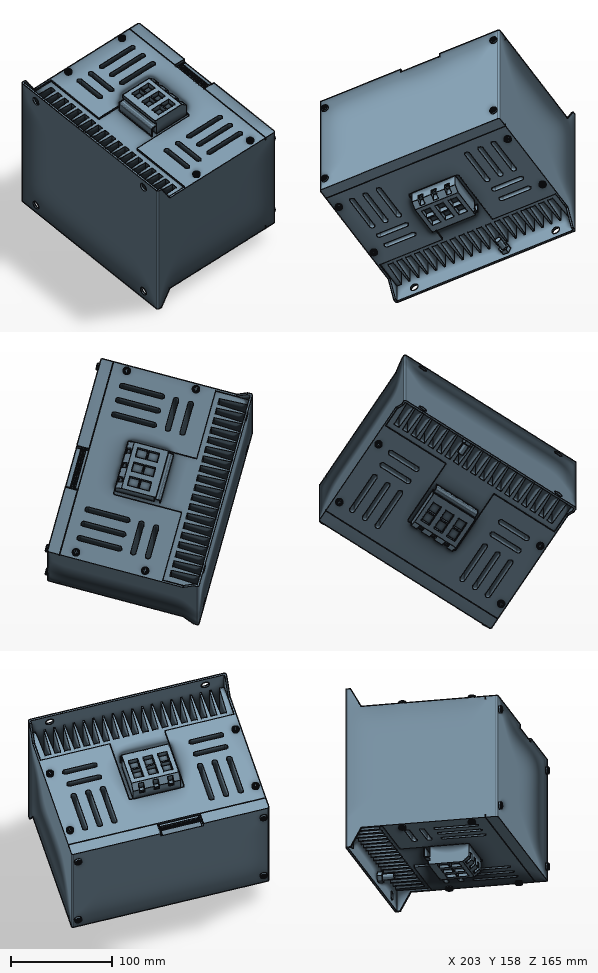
import cadquery as cq

WIDTH = 203.0
PLATE_HEIGHT = 165.0
TOTAL_DEPTH = 158.0
BODY_DEPTH = 155.0
BODY_HEIGHT = 126.5
SHEET = 2.0
BEND_RADIUS = 1.8
BODY_TOP = BODY_HEIGHT / 2
INNER_TOP = BODY_TOP - SHEET

FLARE_START = 16.0
FLARE_END = 5.0
HOLE_DIAMETER = 8.5
HOLE_X = 80.0
HOLE_Z = 72.7

CHANNEL_COUNT = 19
CHANNEL_SPAN = 180.5
CHANNEL_PITCH = CHANNEL_SPAN / (CHANNEL_COUNT - 1)
CHANNEL_ROOT = 31.9
CHANNEL_ROOT_WIDTH = 5.9
CHANNEL_MOUTH_WIDTH = 8.5

COVER_FRONT = 37.4
COVER_GAP_Y = 142.5
COVER_GAP_WIDTH = 0.5
COVER_GAP_DEPTH = 2.8
CUTOUT_WIDTH = 56.5
CUTOUT_BACK = 107.4
CUTOUT_RADIUS = 2.0

SLOT_WIDTH = 5.3
SLOT_PITCH = 15.0
VENT_X = 65.0
LONG_SLOT_LENGTH = 45.5
LONG_SLOT_Y = 107.4
LONG_SLOT_COUNT = 3
CROSS_SLOT_LENGTH = 35.3
CROSS_SLOT_Y = 65.2
CROSS_SLOT_COUNT = 2

SCREW_DIAMETER = 7.3
SCREW_X = 95.5
COVER_SCREW_HEIGHT = 3.5
SEAT_DIAMETER = 6.5
SEAT_HEIGHT = 1.5
COVER_SCREW_YS = (56.5, 127.3)
BACK_SCREW_Z = 50.1
SCREW_CHAMFER = 0.8
CROSS_LENGTH = 5.3
CROSS_WIDTH = 1.6
CROSS_DEPTH = 1.6

TERMINAL_WIDTH = 48.7
TERMINAL_BACK = 106.4
TERMINAL_FRONT = 66.5
TERMINAL_TOP = 80.2
TERMINAL_SLOPE_Y = 100.0
TERMINAL_SLOPE_Z = 74.7
LIP_FRONT = 65.0
LIP_BOTTOM = 76.1
POLE_COUNT = 3
POLE_PITCH = 15.0
WINDOW_WIDTH = 9.5
WINDOW_LENGTH = 10.4
WINDOW_YS = (78.4, 90.1)
WINDOW_DEPTH = 6.0
NOTCH_WIDTH = 5.3
NOTCH_FRONT = 101.5
NOTCH_FLOOR = 71.0
NOTCH_STEP_Y = 105.2
NOTCH_STEP_DROP = 2.0

CLIP_TOP = 73.0
CLIP_FRONT = 60.3
CLIP_THICKNESS = 1.0
CLIP_RADIUS = 2.0
CLIP_ROOT_RADIUS = 1.6

CONNECTOR_X = -12.0
CONNECTOR_WIDTH = 40.5
CONNECTOR_NOTCH_WIDTH = 43.8
CONNECTOR_SLOPE_Y = 150.5
CONNECTOR_DROP = 2.0
CONNECTOR_CLEARANCE_DEPTH = 3.9
PIN_COUNT = 8
PIN_SPAN = 34.3
PIN_PITCH = PIN_SPAN / (PIN_COUNT - 1)
PIN_Y = 147.4
SOCKET_SIZE = 4.0
SOCKET_DEPTH = 4.0
PIN_SIZE = 1.0

STUD_X = -23.8
STUD_DIAMETER = 6.0
STUD_END = 18.5
NUT_SIDES = 6
NUT_WIDTH = 11.2
NUT_END = 7.0


def box(x_range, y_range, z_range):
    """Return a block spanning the given ranges."""
    spans = [high - low for low, high in (x_range, y_range, z_range)]
    corner = (x_range[0], y_range[0], z_range[0])
    return cq.Workplane("XY").box(*spans, centered=False).translate(corner)


def mirrored_in_z(solid):
    return solid.union(solid.mirror("XY"))


def spread(count, pitch):
    """Return evenly pitched positions centred on zero."""
    return [(index - (count - 1) / 2) * pitch for index in range(count)]


def prism_along_x(points, width):
    """Extrude a closed Y-Z outline symmetrically about X = 0."""
    return cq.Workplane("YZ").polyline(points).close().extrude(width / 2, both=True)


def make_body():
    half_plate = PLATE_HEIGHT / 2
    profile = [
        (0, -half_plate),
        (FLARE_END, -half_plate),
        (FLARE_START, -BODY_TOP),
        (BODY_DEPTH, -BODY_TOP),
        (BODY_DEPTH, BODY_TOP),
        (FLARE_START, BODY_TOP),
        (FLARE_END, half_plate),
        (0, half_plate),
    ]
    body = prism_along_x(profile, WIDTH)
    body = body.edges("|Z").edges("<Y or >Y").fillet(BEND_RADIUS)
    half_inside = WIDTH / 2 - SHEET
    inside = (-half_inside, half_inside)
    recess = box(inside, (SHEET, COVER_FRONT), (INNER_TOP, half_plate))
    return body.cut(mirrored_in_z(recess))


def make_mounting_holes():
    centres = [(x, z) for x in (-HOLE_X, HOLE_X) for z in (-HOLE_Z, HOLE_Z)]
    return cq.Workplane("XZ").pushPoints(centres).circle(HOLE_DIAMETER / 2).extrude(-SHEET)


def make_channels():
    root = CHANNEL_ROOT_WIDTH / 2
    mouth = CHANNEL_MOUTH_WIDTH / 2
    outline = [(-mouth, SHEET), (mouth, SHEET), (root, CHANNEL_ROOT), (-root, CHANNEL_ROOT)]
    channel = cq.Workplane("XY").polyline(outline).close().extrude(BODY_TOP, both=True)
    channels = cq.Workplane("XY")
    for x in spread(CHANNEL_COUNT, CHANNEL_PITCH):
        channels.add(channel.translate((x, 0, 0)))
    return channels.combine()


def make_cover_cutout():
    half = CUTOUT_WIDTH / 2
    cutout = box((-half, half), (COVER_FRONT, CUTOUT_BACK), (INNER_TOP, BODY_TOP))
    return mirrored_in_z(cutout.edges("|Z and >Y").fillet(CUTOUT_RADIUS))


def make_cover_gap():
    half = WIDTH / 2
    y_range = (COVER_GAP_Y - COVER_GAP_WIDTH / 2, COVER_GAP_Y + COVER_GAP_WIDTH / 2)
    return mirrored_in_z(box((-half, half), y_range, (BODY_TOP - COVER_GAP_DEPTH, BODY_TOP)))


def make_vents():
    long_slots = [
        (side * VENT_X + offset, LONG_SLOT_Y)
        for side in (-1, 1)
        for offset in spread(LONG_SLOT_COUNT, SLOT_PITCH)
    ]
    cross_slots = [
        (side * VENT_X, CROSS_SLOT_Y + offset)
        for side in (-1, 1)
        for offset in spread(CROSS_SLOT_COUNT, SLOT_PITCH)
    ]
    plane = cq.Workplane("XY")
    vents = plane.pushPoints(long_slots).slot2D(LONG_SLOT_LENGTH, SLOT_WIDTH, 90).extrude(BODY_TOP, both=True)
    return vents.union(
        plane.pushPoints(cross_slots).slot2D(CROSS_SLOT_LENGTH, SLOT_WIDTH).extrude(BODY_TOP, both=True)
    )


def make_screw_head(height):
    """Return a cross-recessed head standing on the XY plane."""
    head = cq.Workplane("XY").circle(SCREW_DIAMETER / 2).extrude(height)
    head = head.faces(">Z").chamfer(SCREW_CHAMFER)
    cross = cq.Workplane("XY").workplane(offset=height - CROSS_DEPTH)
    head = head.cut(cross.rect(CROSS_LENGTH, CROSS_WIDTH).extrude(CROSS_DEPTH))
    return head.cut(cross.rect(CROSS_WIDTH, CROSS_LENGTH).extrude(CROSS_DEPTH))


def make_screws():
    seat = cq.Workplane("XY").circle(SEAT_DIAMETER / 2).extrude(SEAT_HEIGHT)
    cover_head = make_screw_head(COVER_SCREW_HEIGHT - SEAT_HEIGHT).translate((0, 0, SEAT_HEIGHT))
    cover_head = seat.union(cover_head)
    back_head = make_screw_head(TOTAL_DEPTH - BODY_DEPTH).rotate((0, 0, 0), (1, 0, 0), -90)
    screws = cq.Workplane("XY")
    for x in (-SCREW_X, SCREW_X):
        for y in COVER_SCREW_YS:
            screws.add(mirrored_in_z(cover_head.translate((x, y, BODY_TOP))))
        screws.add(mirrored_in_z(back_head.translate((x, BODY_DEPTH, BACK_SCREW_Z))))
    return screws.combine()


def make_terminal():
    outline = [
        (TERMINAL_FRONT, INNER_TOP),
        (TERMINAL_BACK, INNER_TOP),
        (TERMINAL_BACK, TERMINAL_SLOPE_Z),
        (TERMINAL_SLOPE_Y, TERMINAL_TOP),
        (LIP_FRONT, TERMINAL_TOP),
        (LIP_FRONT, LIP_BOTTOM),
        (TERMINAL_FRONT, LIP_BOTTOM),
    ]
    block = prism_along_x(outline, TERMINAL_WIDTH)
    for x in spread(POLE_COUNT, POLE_PITCH):
        for y in WINDOW_YS:
            window = cq.Workplane("XY").box(WINDOW_WIDTH, WINDOW_LENGTH, 2 * WINDOW_DEPTH)
            block = block.cut(window.translate((x, y, TERMINAL_TOP)))
        notch_x = (x - NOTCH_WIDTH / 2, x + NOTCH_WIDTH / 2)
        notch = box(notch_x, (NOTCH_FRONT, TERMINAL_BACK), (NOTCH_FLOOR, TERMINAL_TOP))
        step_z = (NOTCH_FLOOR - NOTCH_STEP_DROP, NOTCH_FLOOR)
        step = box(notch_x, (NOTCH_STEP_Y, TERMINAL_BACK), step_z)
        block = block.cut(notch.union(step))
    return mirrored_in_z(block.union(make_clip()))


def make_clip():
    half = TERMINAL_WIDTH / 2
    y_range = (CLIP_FRONT, TERMINAL_FRONT)
    clip = box((-half, half), y_range, (INNER_TOP, CLIP_TOP))
    clip = clip.edges("|X and >Z and <Y").fillet(CLIP_RADIUS)
    inner_y = (CLIP_FRONT + CLIP_THICKNESS, TERMINAL_FRONT)
    hollow = box((-half, half), inner_y, (INNER_TOP, CLIP_TOP - CLIP_THICKNESS))
    hollow = hollow.edges("|X and >Z and <Y").fillet(CLIP_RADIUS - CLIP_THICKNESS)
    return clip.cut(hollow).union(make_clip_root())


def make_clip_root():
    """Return the concave bend where the clip turns up against the terminal block."""
    half = TERMINAL_WIDTH / 2
    y_range = (TERMINAL_FRONT - CLIP_ROOT_RADIUS, TERMINAL_FRONT)
    root = box((-half, half), y_range, (CLIP_TOP, CLIP_TOP + CLIP_ROOT_RADIUS))
    bend = cq.Workplane("YZ").center(y_range[0], CLIP_TOP + CLIP_ROOT_RADIUS).circle(CLIP_ROOT_RADIUS)
    return root.cut(bend.extrude(half, both=True))


def make_connector_notch():
    half = CONNECTOR_NOTCH_WIDTH / 2
    floor = BODY_TOP - CONNECTOR_CLEARANCE_DEPTH
    x_range = (CONNECTOR_X - half, CONNECTOR_X + half)
    return box(x_range, (COVER_GAP_Y, BODY_DEPTH), (floor, BODY_TOP))


def make_connector():
    floor = BODY_TOP - CONNECTOR_CLEARANCE_DEPTH
    top = BODY_TOP - CONNECTOR_DROP
    outline = [
        (COVER_GAP_Y, floor - SOCKET_DEPTH),
        (COVER_GAP_Y, top),
        (CONNECTOR_SLOPE_Y, top),
        (BODY_DEPTH, floor),
        (BODY_DEPTH, floor - SOCKET_DEPTH),
    ]
    return prism_along_x(outline, CONNECTOR_WIDTH).translate((CONNECTOR_X, 0, 0))


def make_sockets():
    """Return the square socket voids, each with a pin left standing."""
    top = BODY_TOP - CONNECTOR_DROP
    centres = [(CONNECTOR_X + offset, PIN_Y) for offset in spread(PIN_COUNT, PIN_PITCH)]
    plane = cq.Workplane("XY").workplane(offset=top - SOCKET_DEPTH).pushPoints(centres)
    voids = plane.rect(SOCKET_SIZE, SOCKET_SIZE).extrude(SOCKET_DEPTH)
    return voids.cut(plane.rect(PIN_SIZE, PIN_SIZE).extrude(SOCKET_DEPTH))


def make_stud():
    plane = cq.Workplane("XZ").center(STUD_X, -HOLE_Z)
    stud = plane.circle(STUD_DIAMETER / 2).extrude(-STUD_END)
    return stud.union(plane.polygon(NUT_SIDES, NUT_WIDTH).extrude(-NUT_END))


result = make_body()
for void in (
    make_mounting_holes(),
    make_channels(),
    make_cover_cutout(),
    make_cover_gap(),
    make_vents(),
    make_connector_notch(),
):
    result = result.cut(void)
for addition in (make_screws(), make_terminal(), make_connector(), make_stud()):
    result = result.union(addition)
result = result.cut(make_sockets())